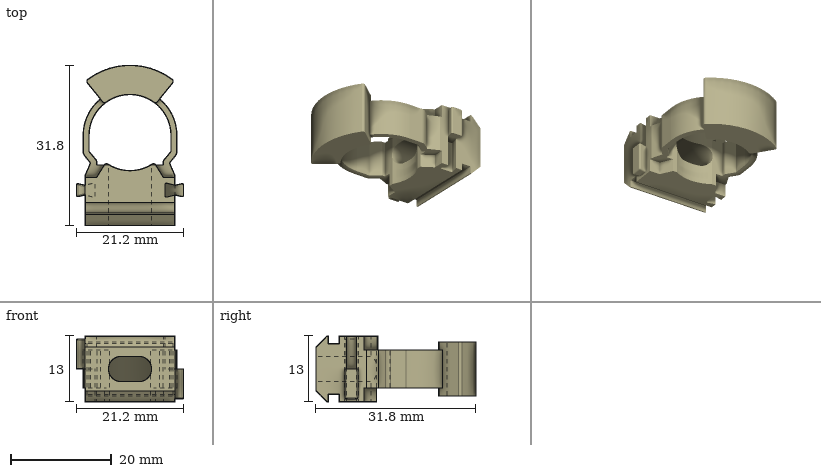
import cadquery as cq
import math

block_width = 17.78
block_depth = 9.52
block_height = 13.0
half_width = block_width / 2
half_height = block_height / 2
foot_half_height = 4.32
lip_start = 2.15
groove_start = 2.45
groove_end = 4.6
groove_depth = 1.45

slot_length = 8.55
slot_height = 5.02

saddle_foot_half_width = 6.6
saddle_top = 12.0
saddle_top_half_width = 5.08
saddle_tip_y = 12.57
saddle_tip_radius = 0.48
saddle_bottom_y = 10.9

bore_radius = 8.1
ring_thickness = 1.2
ring_outer_radius = bore_radius + ring_thickness
ring_center_y = 17.85
ring_height = 7.55
arm_outer_bend_y = 14.22
arm_inner_bend_y = 14.67
neck_outer = (7.85, 12.38)
neck_inner = (6.57, 12.83)
arm_root_y = 9.97
arm_bend_radius = 1.45
neck_inner_radius = 0.65

head_outer_y = 31.75
head_outer_radius = 13.9
head_half_angle = math.radians(39.1)
head_height = 10.73
head_corner_radius = 0.5

dovetail_y = 7.02
dovetail_neck_half = 1.0
tongue_length = 1.7
tongue_end_half = 1.35
tongue_height = 5.95
tongue_edge_radius = 0.3
socket_depth = 1.97
socket_end_half = 1.45
socket_corner_radius = 0.3


def prism(points, height):
    """Outline in the XY plane, extruded symmetrically about Z = 0."""
    return cq.Workplane("XY").polyline(points).close().extrude(height / 2, both=True)


def make_block():
    groove_floor = half_height - groove_depth
    upper = [
        (0, foot_half_height),
        (lip_start, half_height),
        (groove_start, half_height),
        (groove_start, groove_floor),
        (groove_end, groove_floor),
        (groove_end, half_height),
        (block_depth, half_height),
    ]
    lower = [(y, -z) for y, z in reversed(upper)]
    return cq.Workplane("YZ").polyline(upper + lower).close().extrude(half_width, both=True)


def tapered_outline(top_y):
    """Symmetric outline of the saddle's leaning flanks, cut off level at top_y."""
    lean = (saddle_foot_half_width - saddle_top_half_width) / (saddle_top - block_depth)
    top_x = saddle_foot_half_width - lean * (top_y - block_depth)
    return [
        (-saddle_foot_half_width, block_depth),
        (saddle_foot_half_width, block_depth),
        (top_x, top_y),
        (-top_x, top_y),
    ]


def make_dip():
    """Circular segment that hollows the top of the saddle and the web below it."""
    rise = saddle_tip_y - saddle_bottom_y
    half_chord = math.sqrt(bore_radius**2 - (bore_radius - rise) ** 2)
    return (
        cq.Workplane("XY")
        .moveTo(-half_chord, saddle_tip_y)
        .threePointArc((0, saddle_bottom_y), (half_chord, saddle_tip_y))
        .close()
        .extrude(half_height, both=True)
    )


def make_saddle():
    """Level-topped trapezoid with a hollow; above the ring it rises to two rounded tips."""
    base = prism(tapered_outline(saddle_top), block_height).cut(make_dip())
    tips = (
        cq.Workplane("XY", origin=(0, 0, ring_height / 2))
        .polyline(tapered_outline(saddle_tip_y))
        .close()
        .extrude((block_height - ring_height) / 2)
        .cut(make_dip())
    )
    tip_zone = cq.selectors.BoxSelector(
        (-half_width, saddle_top, 0), (half_width, ring_center_y, block_height)
    )
    tips = tips.edges("|Z").edges(tip_zone).fillet(saddle_tip_radius)
    return base.union(tips)


def arched_prism(right_side, arch_radius, height):
    """Symmetric prism: right_side runs upward, and an arch joins it to its mirror image."""
    left_side = [(-x, y) for x, y in reversed(right_side)]
    arch_start = (arch_radius, ring_center_y)
    arch_top = (0, ring_center_y + arch_radius)
    arch_end = (-arch_radius, ring_center_y)
    return (
        cq.Workplane("XY")
        .polyline(right_side + [arch_start])
        .threePointArc(arch_top, arch_end)
        .polyline(left_side, includeCurrent=True)
        .close()
        .extrude(height / 2, both=True)
    )


def round_corners_at(body, corner_y, radius):
    """Round the pair of upright edges that lie at corner_y."""
    reach = ring_outer_radius + ring_thickness
    margin = ring_thickness / 4
    zone = cq.selectors.BoxSelector(
        (-reach, corner_y - margin, -margin), (reach, corner_y + margin, margin)
    )
    return body.edges("|Z").edges(zone).fillet(radius)


def make_ring():
    """Arch with two bent arms, and the web that joins the arms to the saddle."""
    outer_side = [
        (half_width, block_depth),
        (half_width, arm_root_y),
        neck_outer,
        (ring_outer_radius, arm_outer_bend_y),
    ]
    inner_side = [
        (neck_inner[0], saddle_top),
        neck_inner,
        (bore_radius, arm_inner_bend_y),
    ]
    body = arched_prism(outer_side, ring_outer_radius, ring_height)
    body = round_corners_at(body, arm_outer_bend_y, arm_bend_radius)
    opening = arched_prism(inner_side, bore_radius, ring_height)
    opening = round_corners_at(opening, neck_inner[1], neck_inner_radius)
    return body.cut(opening).cut(make_dip())


def make_head():
    """Thick sector with radial sides, wrapped around the far end of the ring."""
    outer_center_y = head_outer_y - head_outer_radius
    inner_x = bore_radius * math.sin(head_half_angle)
    inner_y = ring_center_y + bore_radius * math.cos(head_half_angle)
    outer_x = head_outer_radius * math.sin(head_half_angle)
    outer_y = outer_center_y + head_outer_radius * math.cos(head_half_angle)
    return (
        cq.Workplane("XY")
        .moveTo(-inner_x, inner_y)
        .threePointArc((0, ring_center_y + bore_radius), (inner_x, inner_y))
        .lineTo(outer_x, outer_y)
        .threePointArc((0, head_outer_y), (-outer_x, outer_y))
        .close()
        .extrude(head_height / 2, both=True)
        .edges("|Z")
        .fillet(head_corner_radius)
    )


def dovetail(length, end_half, height):
    """Dovetail on the left block side, from its neck outward (or inward if length < 0)."""
    end_x = -half_width - length
    return (
        cq.Workplane("XY")
        .polyline(
            [
                (-half_width, dovetail_y - dovetail_neck_half),
                (-half_width, dovetail_y + dovetail_neck_half),
                (end_x, dovetail_y + end_half),
                (end_x, dovetail_y - end_half),
            ]
        )
        .close()
        .extrude(height)
    )


def make_tongue():
    """Tongue above Z = 0 on the left side, with a rounded end."""
    tongue = dovetail(tongue_length, tongue_end_half, tongue_height)
    return tongue.faces("<X or >Z").edges("not(>X or <Z)").fillet(tongue_edge_radius)


def make_socket():
    """Socket below Z = 0 on the left side, open at the bottom of the block."""
    socket = dovetail(-socket_depth, socket_end_half, -half_height)
    return socket.edges("|Z and >X").fillet(socket_corner_radius)


def turned(feature):
    """The same feature on the right side, a half turn about the Y axis away."""
    return feature.rotate((0, 0, 0), (0, 1, 0), 180)


def make_bolt_slot():
    return cq.Workplane("XZ").slot2D(slot_length, slot_height).extrude(-saddle_tip_y)


result = make_block().union(make_saddle()).union(make_ring()).union(make_head())
result = result.cut(make_bolt_slot())
result = result.cut(make_socket()).cut(turned(make_socket()))
result = result.union(make_tongue()).union(turned(make_tongue()))